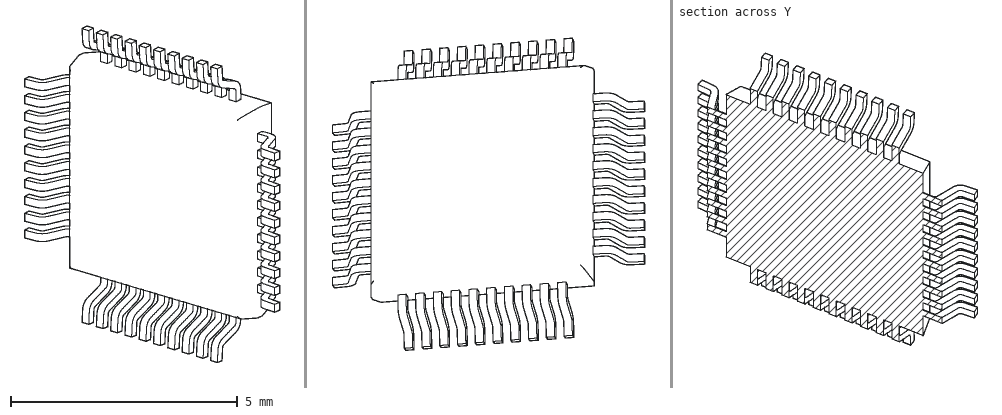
import cadquery as cq
import math

body_side = 5.0
body_thickness = 1.2
body_draft = 12.0
body_edge_radius = 0.1
standoff = 0.15

lead_thickness = 0.17
lead_width = 0.19
lead_pitch = 0.4
leads_per_side = 10
lead_embed = 0.2
shoulder_length = 0.25
foot_length = 0.3
bend_inner_radius = 0.08
leg_angle = 70.0
foot_angle = 4.0

half_side = body_side / 2
half_lead = lead_thickness / 2
band_center = standoff + body_thickness / 2
taper_height = (body_thickness - lead_thickness) / 2


def offset(point, distance, angle):
    """Point at a distance from another, in a direction given in degrees."""
    turn = math.radians(angle)
    return (point[0] + distance * math.cos(turn), point[1] + distance * math.sin(turn))


def make_half_body(direction):
    """Tapered half above (+1) or below (-1) the band, with rounded outer edges."""
    half = (
        cq.Workplane("XZ", origin=(0, band_center + direction * half_lead, 0))
        .rect(body_side, body_side)
        .extrude(-direction * taper_height, taper=body_draft)
    )
    outer_face = ">Y" if direction > 0 else "<Y"
    return half.faces(outer_face).edges().fillet(body_edge_radius)


def make_body():
    band = cq.Workplane("XY").box(body_side, lead_thickness, body_side).translate((0, band_center, 0))
    return band.union(make_half_body(1)).union(make_half_body(-1))


def make_lead():
    """One lead pointing along +X, centred on Z = 0: shoulder, bend, sloping leg, bend, foot."""
    inner = bend_inner_radius
    outer = inner + lead_thickness
    middle = inner + half_lead
    leg_drop_angle = math.radians(leg_angle)
    foot_drop_angle = math.radians(foot_angle)

    upper_bend_drop = middle * (1 - math.cos(leg_drop_angle))
    lower_bend_drop = middle * (math.cos(foot_drop_angle) - math.cos(leg_drop_angle))
    foot_drop = foot_length * math.sin(foot_drop_angle) + half_lead * math.cos(foot_drop_angle)
    leg_drop = band_center - upper_bend_drop - lower_bend_drop - foot_drop
    leg_length = leg_drop / math.sin(leg_drop_angle)

    shoulder_normal = 90
    leg_normal = 90 - leg_angle
    foot_normal = 90 - foot_angle
    upper_middle = (shoulder_normal + leg_normal) / 2
    lower_middle = (leg_normal + foot_normal) / 2

    upper_center = (half_side + shoulder_length, band_center - middle)
    leg_start = offset(upper_center, middle, leg_normal)
    leg_end = offset(leg_start, leg_length, -leg_angle)
    lower_center = offset(leg_end, middle, leg_normal)
    foot_start = offset(lower_center, -middle, foot_normal)
    foot_end = offset(foot_start, foot_length, -foot_angle)

    root_x = half_side - lead_embed
    profile = (
        cq.Workplane("XY")
        .moveTo(root_x, band_center + half_lead)
        .lineTo(*offset(upper_center, outer, shoulder_normal))
        .threePointArc(offset(upper_center, outer, upper_middle), offset(upper_center, outer, leg_normal))
        .lineTo(*offset(lower_center, -inner, leg_normal))
        .threePointArc(offset(lower_center, -inner, lower_middle), offset(lower_center, -inner, foot_normal))
        .lineTo(*offset(foot_end, half_lead, foot_normal))
        .lineTo(*offset(foot_end, -half_lead, foot_normal))
        .lineTo(*offset(lower_center, -outer, foot_normal))
        .threePointArc(offset(lower_center, -outer, lower_middle), offset(lower_center, -outer, leg_normal))
        .lineTo(*offset(upper_center, inner, leg_normal))
        .threePointArc(offset(upper_center, inner, upper_middle), offset(upper_center, inner, shoulder_normal))
        .lineTo(root_x, band_center - half_lead)
        .close()
    )
    return profile.extrude(lead_width / 2, both=True)


def make_all_leads():
    """The same row of leads on each of the four sides."""
    lead = make_lead().val()
    leads = []
    for side_angle in (0, 90, 180, 270):
        for index in range(leads_per_side):
            along = (index - (leads_per_side - 1) / 2) * lead_pitch
            placed = lead.translate(cq.Vector(0, 0, along))
            leads.append(placed.rotate(cq.Vector(0, 0, 0), cq.Vector(0, 1, 0), side_angle))
    return leads


body = make_body().val()
result = cq.Workplane(body.fuse(*make_all_leads()))